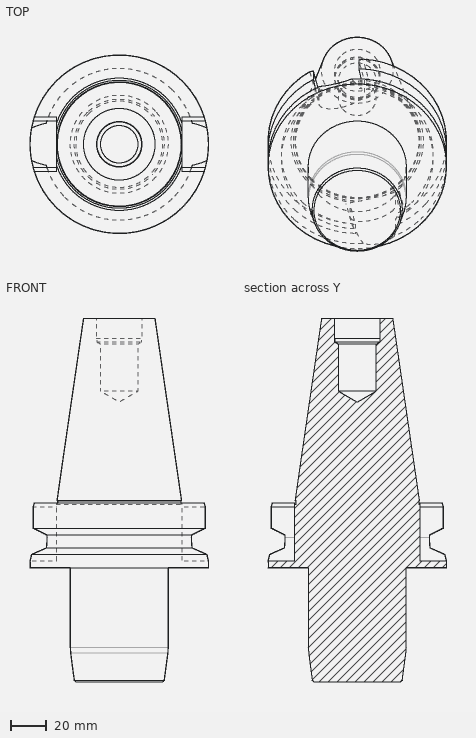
import cadquery as cq
import math

TOTAL_HEIGHT = 203.8
TAPER_LENGTH = 102.0
FLANGE_BOTTOM = 64.0
FLANGE_TOP = 100.5

GAUGE_RADIUS = 70.0 / 2
TAPER_RATIO = 7 / 24
SMALL_END_RADIUS = GAUGE_RADIUS - TAPER_LENGTH * TAPER_RATIO / 2
GAUGE_HEIGHT = TOTAL_HEIGHT - TAPER_LENGTH

RELIEF_RADIUS = 69.3 / 2
RELIEF_OUTER_RADIUS = 74.2 / 2
RELIEF_FLOOR_RADIUS = 71.7 / 2
RELIEF_DEPTH = 0.8

FLANGE_RADIUS = 100.0 / 2
GROOVE_RADIUS = 85.2 / 2
LOWER_RIM_TOP = 71.5
GROOVE_FLOOR_BOTTOM = 75.2
GROOVE_FLOOR_TOP = 82.3
UPPER_RIM_BOTTOM = 86.2

NOSE_RADIUS = 55.0 / 2
NOSE_TIP_RADIUS = 50.5 / 2
NOSE_BLEND_TOP = 19.4
NOSE_BLEND_BOTTOM = 16.3
NOSE_BLEND_RADIUS = 27.3
NOSE_EDGE_CHAMFER = 1.0

SLOT_WIDTH = 26.3
SLOT_FLOOR_X = 35.3
SLOT_BOTTOM = 67.9
SLOT_CHAMFER = 2.2

ENTRY_RADIUS = 25.5 / 2
ENTRY_DEPTH = 11.2
THREAD_RADIUS = 25.0 / 2
CORE_RADIUS = 21.0 / 2
THREAD_DEPTH = 13.2
CORE_DEPTH = 40.8
DRILL_POINT_ANGLE = 120.0


def revolve(points):
    """Revolve a closed (radius, height) outline about Z."""
    return cq.Workplane("XZ").polyline(points).close().revolve(360, (0, 0), (0, 1))


def make_body():
    return revolve([
        (0, 0),
        (NOSE_TIP_RADIUS - NOSE_EDGE_CHAMFER, 0),
        (NOSE_TIP_RADIUS, NOSE_EDGE_CHAMFER),
        (NOSE_BLEND_RADIUS, NOSE_BLEND_BOTTOM),
        (NOSE_RADIUS, NOSE_BLEND_TOP),
        (NOSE_RADIUS, FLANGE_BOTTOM),
        (FLANGE_RADIUS, FLANGE_BOTTOM),
        (FLANGE_RADIUS, LOWER_RIM_TOP),
        (GROOVE_RADIUS, GROOVE_FLOOR_BOTTOM),
        (GROOVE_RADIUS, GROOVE_FLOOR_TOP),
        (FLANGE_RADIUS, UPPER_RIM_BOTTOM),
        (FLANGE_RADIUS, FLANGE_TOP),
        (RELIEF_OUTER_RADIUS, FLANGE_TOP),
        (RELIEF_FLOOR_RADIUS, FLANGE_TOP - RELIEF_DEPTH),
        (RELIEF_RADIUS, FLANGE_TOP - RELIEF_DEPTH),
        (RELIEF_RADIUS, GAUGE_HEIGHT - (GAUGE_RADIUS - RELIEF_RADIUS)),
        (GAUGE_RADIUS, GAUGE_HEIGHT),
        (SMALL_END_RADIUS, TOTAL_HEIGHT),
        (0, TOTAL_HEIGHT),
    ])


def make_bore():
    """Entry counterbore, conical step, core hole and drill point."""
    cone_slope = math.tan(math.radians(DRILL_POINT_ANGLE / 2))
    point_length = CORE_RADIUS / cone_slope
    step_bottom = THREAD_DEPTH + (THREAD_RADIUS - CORE_RADIUS) / cone_slope
    return revolve([
        (0, TOTAL_HEIGHT),
        (ENTRY_RADIUS, TOTAL_HEIGHT),
        (ENTRY_RADIUS, TOTAL_HEIGHT - ENTRY_DEPTH),
        (THREAD_RADIUS, TOTAL_HEIGHT - ENTRY_DEPTH),
        (THREAD_RADIUS, TOTAL_HEIGHT - THREAD_DEPTH),
        (CORE_RADIUS, TOTAL_HEIGHT - step_bottom),
        (CORE_RADIUS, TOTAL_HEIGHT - CORE_DEPTH),
        (0, TOTAL_HEIGHT - CORE_DEPTH - point_length),
    ])


def make_slot(side):
    """Round-ended drive slot with a chamfered mouth on the +X or -X side."""
    half_width = SLOT_WIDTH / 2
    arc_height = SLOT_BOTTOM + half_width
    mouth = half_width + SLOT_CHAMFER
    return (
        cq.Workplane("YZ", origin=(side * SLOT_FLOOR_X, 0, 0))
        .moveTo(-half_width, arc_height)
        .threePointArc((0, SLOT_BOTTOM), (half_width, arc_height))
        .lineTo(half_width, FLANGE_TOP - SLOT_CHAMFER)
        .lineTo(mouth, FLANGE_TOP)
        .lineTo(-mouth, FLANGE_TOP)
        .lineTo(-half_width, FLANGE_TOP - SLOT_CHAMFER)
        .close()
        .extrude(side * FLANGE_RADIUS)
    )


result = make_body().cut(make_bore())
for side in (-1, 1):
    result = result.cut(make_slot(side))